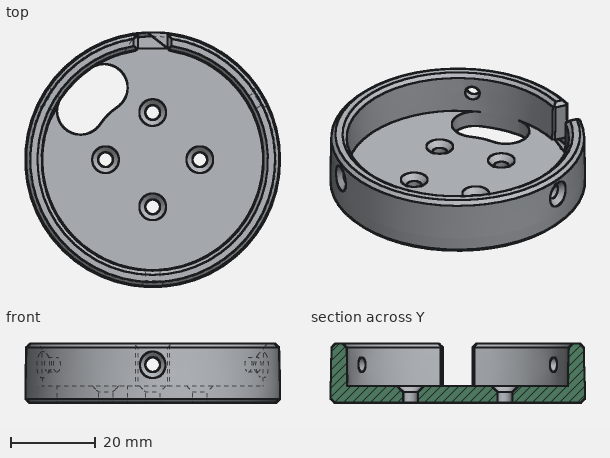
import cadquery as cq
import math

base_radius = 30.0
total_height = 14.0
floor_thickness = 4.0
edge_chamfer = 0.95
gap_corner_chamfer = 0.5
wall_draft = 0.25
floor_radius = 26.0
bore_draft = 0.2
gap_width = 7.0
screw_diameter = 3.4
sink_diameter = 6.3
sink_angle = 90.0
mouth_clearance = 0.6
floor_screw_radius = 11.1
floor_screw_angles = (0.0, 90.0, 180.0, 270.0)
side_screw_height = 9.0
side_screw_angles = (-90.0, 30.0, 150.0)
slot_end_radius = 5.5
slot_center_angle = 135.0
slot_half_angle = 11.0

wall_height = total_height - floor_thickness
rim_radius = base_radius - wall_draft
slot_path_radius = floor_radius - slot_end_radius
sink_depth = (sink_diameter - screw_diameter) / 2 / math.tan(math.radians(sink_angle / 2))


def floor_disc():
    """Solid floor with a chamfered lower edge."""
    return (
        cq.Workplane("XY")
        .circle(base_radius)
        .extrude(floor_thickness)
        .faces("<Z")
        .chamfer(edge_chamfer)
    )


def wall():
    """Slightly conical ring, open at +Y, with its rim and gap edges chamfered."""
    profile = [
        (floor_radius, floor_thickness),
        (base_radius, floor_thickness),
        (rim_radius, total_height),
        (floor_radius + bore_draft, total_height),
    ]
    ring = cq.Workplane("XZ").polyline(profile).close().revolve(360)
    gap = (
        cq.Workplane("XY", origin=(0, 0, floor_thickness))
        .center(0, base_radius / 2)
        .rect(gap_width, base_radius)
        .extrude(wall_height)
    )
    ring = ring.cut(gap).faces(">Z").chamfer(edge_chamfer)
    upright_edges = cq.selectors.BoxSelector(
        (-0.6 * gap_width, 0, floor_thickness + 0.3 * wall_height),
        (0.6 * gap_width, base_radius, floor_thickness + 0.7 * wall_height),
    )
    return ring.edges(upright_edges).chamfer(gap_corner_chamfer)


def polar(radius, angle):
    """Point in the XY plane at an angle in degrees."""
    turn = math.radians(angle)
    return radius * math.cos(turn), radius * math.sin(turn)


def cable_slot():
    """Cutter for the arc-shaped slot that follows the inner wall."""
    start_angle = slot_center_angle - slot_half_angle
    end_angle = slot_center_angle + slot_half_angle
    inner = slot_path_radius - slot_end_radius
    outer = floor_radius
    band = (
        cq.Workplane("XY")
        .moveTo(*polar(inner, start_angle))
        .lineTo(*polar(outer, start_angle))
        .threePointArc(polar(outer, slot_center_angle), polar(outer, end_angle))
        .lineTo(*polar(inner, end_angle))
        .threePointArc(polar(inner, slot_center_angle), polar(inner, start_angle))
        .close()
        .extrude(floor_thickness)
    )
    ends = (
        cq.Workplane("XY")
        .pushPoints([polar(slot_path_radius, start_angle), polar(slot_path_radius, end_angle)])
        .circle(slot_end_radius)
        .extrude(floor_thickness)
    )
    return band.union(ends)


def screw_cutter(length):
    """Countersunk hole cutter along -Z, its countersink mouth at Z = 0."""
    shank_radius = screw_diameter / 2
    sink_radius = sink_diameter / 2
    profile = [
        (0, mouth_clearance),
        (sink_radius, mouth_clearance),
        (sink_radius, 0),
        (shank_radius, -sink_depth),
        (shank_radius, -length),
        (0, -length),
    ]
    return cq.Workplane("XZ").polyline(profile).close().revolve(360, (0, 0), (0, 1))


def floor_screw(angle):
    """Countersunk hole through the floor, opening upward."""
    x, y = polar(floor_screw_radius, angle)
    return screw_cutter(floor_thickness).translate((x, y, floor_thickness))


def side_screw(angle):
    """Countersunk hole through the wall, opening outward."""
    cutter_length = base_radius / 2
    return (
        screw_cutter(cutter_length)
        .rotate((0, 0, 0), (0, 1, 0), 90)
        .translate((base_radius - wall_draft / 2, 0, side_screw_height))
        .rotate((0, 0, 0), (0, 0, 1), angle)
    )


result = floor_disc().union(wall()).cut(cable_slot())
for screw_angle in floor_screw_angles:
    result = result.cut(floor_screw(screw_angle))
for screw_angle in side_screw_angles:
    result = result.cut(side_screw(screw_angle))